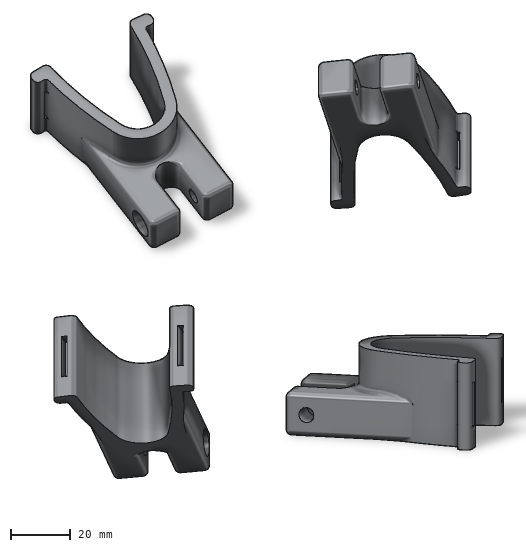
import cadquery as cq
import math


wall_height = 30.0
wall_thickness = 4.05
nose_center_x = 31.15
nose_radius = 13.2
nose_half_angle = math.radians(70.5)
arm_radius = 143.2

pad_front_x = -0.12
pad_back_x = 5.25
pad_half_span = 23.865
pad_front_lean = 0.5
pad_back_lean = 0.3
pad_round = 2.0
pad_root_round = 1.0

slot_height = 15.0
slot_front_y = (18.9, 20.9)
slot_back_outer_y = 20.4
slot_back_x = 6.0

lug_end_x = 66.29
lug_root_x = 18.0
lug_width = 33.0
lug_height = 15.0
lug_round = 2.0
gap_radius = 4.55
gap_center_x = 50.93
gap_round_middle = 0.4
gap_round_end = 0.05
junction_round = 1.95

bolt_x = 58.85
bolt_z = lug_height / 2
bolt_diameter = 5.1
bolt_head_diameter = 9.6
bolt_head_depth = 4.0

arm_center_x = nose_center_x - (arm_radius - nose_radius) * math.cos(nose_half_angle)
arm_center_y = -(arm_radius - nose_radius) * math.sin(nose_half_angle)


def nose_point(inset, angle):
    """Point on the nose, a given distance inside its outer face."""
    radius = nose_radius - inset
    return (nose_center_x + radius * math.cos(angle), radius * math.sin(angle))


def arm_point(inset, x):
    """Point on the arm at x, a given distance inside its outer face."""
    radius = arm_radius - inset
    return (x, arm_center_y + math.sqrt(radius**2 - (x - arm_center_x) ** 2))


def trace_wall_face(inset, tip_x):
    """Start an outline on the symmetry plane and follow the wall to the arm tip."""
    tangent_point = nose_point(inset, nose_half_angle)
    arm_middle = arm_point(inset, (tip_x + tangent_point[0]) / 2)
    return (
        cq.Workplane("XY")
        .moveTo(*nose_point(inset, 0))
        .threePointArc(nose_point(inset, nose_half_angle / 2), tangent_point)
        .threePointArc(arm_middle, arm_point(inset, tip_x))
    )


def edge_near(body, point, z):
    return body.edges(cq.selectors.NearestToPointSelector((*point, z)))


def make_cavity():
    """Space between the inner face of the wall and the symmetry plane."""
    return trace_wall_face(wall_thickness, pad_front_x).lineTo(pad_front_x, 0).close().extrude(wall_height)


def make_wall():
    pad_root_x = pad_back_x - pad_back_lean
    back_corner = (pad_back_x, pad_half_span)
    front_corner = (pad_front_x + pad_front_lean, pad_half_span)
    inner_corner = arm_point(wall_thickness, pad_front_x)
    wall = (
        trace_wall_face(0, pad_root_x)
        .lineTo(*back_corner)
        .lineTo(*front_corner)
        .lineTo(*inner_corner)
        .lineTo(pad_front_x, 0)
        .close()
        .extrude(wall_height)
        .cut(make_cavity())
    )
    for corner in (back_corner, front_corner, inner_corner):
        wall = edge_near(wall, corner, wall_height / 2).fillet(pad_round)
    return edge_near(wall, arm_point(0, pad_root_x), wall_height / 2).fillet(pad_root_round)


def round_lug(lug):
    """Round the lug's edges, fading out along the arc at the closed end of the gap."""
    sharp_edges = lug.faces("<X or <Y").edges().vals()
    rounder = cq.occ_impl.shapes.BRepFilletAPI_MakeFillet(lug.val().wrapped)
    for edge in lug.faces("<Z or >Z or >X").edges().vals():
        if not any(edge.isSame(sharp) for sharp in sharp_edges):
            rounder.Add(lug_round, edge.wrapped)

    for run in range(1, rounder.NbContours() + 1):
        if cq.Shape.cast(rounder.Edge(run, 1)).geomType() == "CIRCLE":
            rounder.SetRadius(gap_round_end, gap_round_middle, run, 1)
            rounder.SetRadius(gap_round_middle, lug_round, run, 2)
    return cq.Workplane(cq.Shape.cast(rounder.Shape()))


def gap_point(angle):
    """Point on the arc of the gap, at an angle from its closed end."""
    return (gap_center_x - gap_radius * math.cos(angle), gap_radius * math.sin(angle))


def make_lug():
    half_width = lug_width / 2
    eighth_turn = math.pi / 4
    lug = (
        cq.Workplane("XY")
        .moveTo(lug_root_x, 0)
        .lineTo(*gap_point(0))
        .threePointArc(gap_point(eighth_turn / 2), gap_point(eighth_turn))
        .threePointArc(gap_point(eighth_turn * 1.5), gap_point(eighth_turn * 2))
        .lineTo(lug_end_x, gap_radius)
        .lineTo(lug_end_x, half_width)
        .lineTo(lug_root_x, half_width)
        .close()
        .extrude(lug_height, clean=False)
    )
    return round_lug(lug).cut(make_cavity())


def make_strap_slot():
    """Slot whose wall side is an arc tangent to the outer face of the arm."""
    slot_base = (wall_height - slot_height) / 2
    floor_end = arm_point(0, slot_back_x)
    radial = (floor_end[0] - arm_center_x, floor_end[1] - arm_center_y)
    toward_tip = cq.Vector(-radial[1], radial[0])
    floor = cq.Edge.makeTangentArc(
        cq.Vector(*floor_end), toward_tip, cq.Vector(pad_front_x, slot_front_y[0])
    )
    return (
        cq.Workplane("XY", origin=(0, 0, slot_base))
        .moveTo(*floor_end)
        .threePointArc(floor.positionAt(0.5).toTuple()[:2], (pad_front_x, slot_front_y[0]))
        .lineTo(pad_front_x, slot_front_y[1])
        .lineTo(slot_back_x, slot_back_outer_y)
        .close()
        .extrude(slot_height)
    )


def make_half():
    half = make_wall().union(make_lug())
    on_nose = nose_point(0, nose_half_angle / 2)
    half = edge_near(half, on_nose, lug_height).fillet(junction_round)
    return half.cut(make_strap_slot())


def make_bolt_hole():
    """Through hole with a head recess on the -Y side."""
    entry = cq.Workplane("XZ", origin=(bolt_x, -lug_width / 2, bolt_z))
    shank = entry.circle(bolt_diameter / 2).extrude(-lug_width)
    head = entry.circle(bolt_head_diameter / 2).extrude(-bolt_head_depth)
    return shank.union(head)


half = make_half()
result = half.union(half.mirror("XZ")).cut(make_bolt_hole())